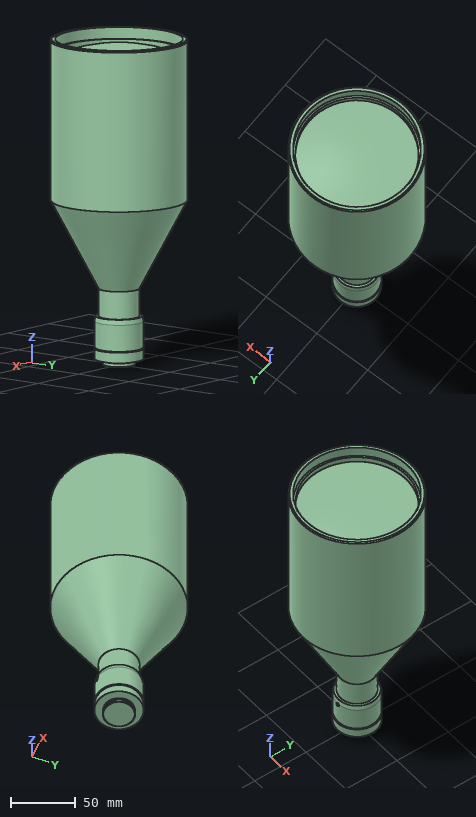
import cadquery as cq
import math

total_height = 255.5

plug_diameter = 25.3
plug_chamfer = 0.5
relief_diameter = 24.5
relief_bottom = 3.0

collar_diameter = 38.0
collar_bottom = 4.5
collar_top = 38.3
collar_rim_diameter = 36.3
taper_height = 3.8
groove_bottom = 12.8
groove_width = 0.8
groove_depth = 0.5

screw_hole_diameter = 3.0
screw_hole_depth = 1.3
socket_diameter = 1.5
socket_depth = 1.3

neck_diameter = 32.0
cone_bottom = 60.0
cone_top = 129.5
barrel_diameter = 106.0
barrel_chamfer = 1.0

recess_diameter = 98.7
recess_depth = 9.0
lens_diameter = 95.0
lens_edge_depth = 13.8
lens_rise = 9.0

taper_bottom = collar_top - taper_height

screw_height = taper_bottom - screw_hole_diameter / 2

def body_of_revolution():
    """Revolve the half outline, listed from the bottom centre round to the lens apex."""
    plug_radius = plug_diameter / 2
    relief_radius = relief_diameter / 2
    collar_radius = collar_diameter / 2
    groove_radius = collar_radius - groove_depth
    groove_top = groove_bottom + groove_width
    neck_radius = neck_diameter / 2
    barrel_radius = barrel_diameter / 2
    recess_radius = recess_diameter / 2
    recess_floor = total_height - recess_depth
    lens_radius = lens_diameter / 2
    lens_edge = total_height - lens_edge_depth
    lens_apex = lens_edge + lens_rise

    sphere_radius = (lens_radius**2 + lens_rise**2) / (2 * lens_rise)
    half_angle = math.asin(lens_radius / sphere_radius) / 2
    lens_mid = (
        sphere_radius * math.sin(half_angle),
        lens_apex - sphere_radius * (1 - math.cos(half_angle)),
    )

    outline = (
        cq.Workplane("XZ")
        .moveTo(0, 0)
        .lineTo(plug_radius - plug_chamfer, 0)
        .lineTo(plug_radius, plug_chamfer)
        .lineTo(plug_radius, relief_bottom)
        .lineTo(relief_radius, relief_bottom)
        .lineTo(relief_radius, collar_bottom)
        .lineTo(collar_radius, collar_bottom)
        .lineTo(collar_radius, groove_bottom)
        .lineTo(groove_radius, groove_bottom)
        .lineTo(groove_radius, groove_top)
        .lineTo(collar_radius, groove_top)
        .lineTo(collar_radius, taper_bottom)
        .lineTo(collar_rim_diameter / 2, collar_top)
        .lineTo(neck_radius, collar_top)
        .lineTo(neck_radius, cone_bottom)
        .lineTo(barrel_radius, cone_top)
        .lineTo(barrel_radius, total_height - barrel_chamfer)
        .lineTo(barrel_radius - barrel_chamfer, total_height)
        .lineTo(recess_radius, total_height)
        .lineTo(recess_radius, recess_floor)
        .lineTo(lens_radius, recess_floor)
        .lineTo(lens_radius, lens_edge)
        .threePointArc(lens_mid, (0, lens_apex))
        .close()
    )
    return outline.revolve(360, (0, 0, 0), (0, 1, 0))

def radial_bore(diameter, floor_radius):
    """Round cutter along -Y, running outwards from floor_radius to beyond the collar."""
    return (
        cq.Workplane("XZ", origin=(0, -floor_radius, screw_height))
        .circle(diameter / 2)
        .extrude(collar_diameter / 2)
    )

screw_face_radius = collar_diameter / 2 - screw_hole_depth
screw_hole = radial_bore(screw_hole_diameter, screw_face_radius)
screw_socket = radial_bore(socket_diameter, screw_face_radius - socket_depth)

result = body_of_revolution().cut(screw_hole).cut(screw_socket)